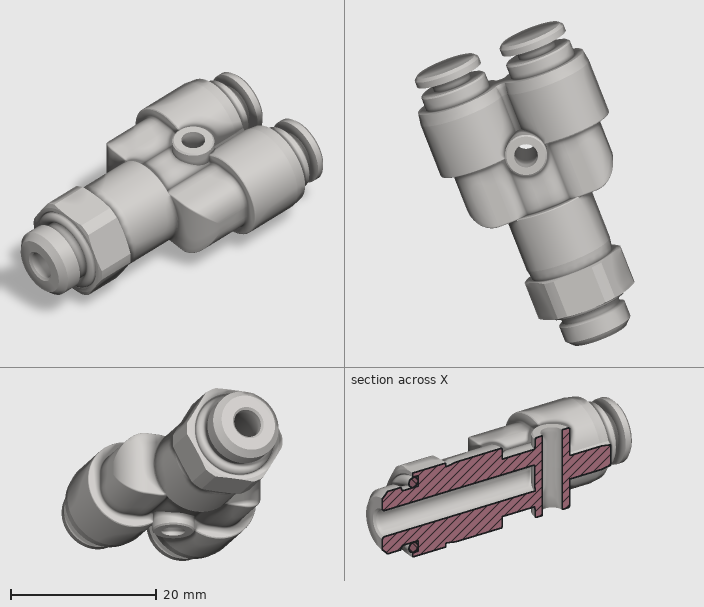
import cadquery as cq

LENGTH = 42.9

NOSE_RADIUS = 4.85
NOSE_CHAMFER = 0.9
NOSE_TOP = 3.1
NECK_RADIUS = 4.25
NECK_START = 3.4
BORE_RADIUS = 1.97
BORE_CHAMFER = 0.3

HEX_FLATS = 13.0
HEX_START = 5.0
HEX_END = 10.65
HEX_TURN = 30
HEX_CORNER_RADIUS = 7.08
HEX_FACE_RADIUS = 6.5
HEX_CHAMFER_HEIGHT = 0.17

SEAL_OUTER_RADIUS = 5.8
SEAL_SECTION_RADIUS = (SEAL_OUTER_RADIUS - NECK_RADIUS) / 2
SEAL_CENTRE_RADIUS = NECK_RADIUS + SEAL_SECTION_RADIUS
SEAL_STANDOUT = 0.6
SEAL_CENTRE_Y = HEX_START - SEAL_STANDOUT + SEAL_SECTION_RADIUS
RECESS_FLOOR = SEAL_CENTRE_Y + SEAL_SECTION_RADIUS
RECESS_CHAMFER = 0.17

SLEEVE_RADIUS = 6.18
SLEEVE_TIP_RADIUS = 5.9
TAPER_LENGTH = 1.6
RIM_ROUND = 0.17
STEM_END = 20.0
PORT_START = 28.65
PORT_END = 38.1
TOTAL_WIDTH = 24.9
PORT_OFFSET = TOTAL_WIDTH / 2 - SLEEVE_RADIUS

WEB_HALF_HEIGHT = 2.15
HOLLOW_AXIS_Z = 2.45
HOLLOW_RADIUS = 0.6
HOLLOW_TIP_RADIUS = HOLLOW_RADIUS + SLEEVE_RADIUS - SLEEVE_TIP_RADIUS

LOBE_HALF_SIZE = 4.45
LOBE_ROUND = 3.5
LOBE_START = 19.9
SHOULDER_ROUND = 3.6
EDGE_ROUND = 0.2
VALLEY_ROUND = 0.35
HOUSING_WIDTH = 2 * (PORT_OFFSET + LOBE_HALF_SIZE)

BOSS_Y = 28.3
BOSS_RADIUS = 2.9
BOSS_CHAMFER = 0.2
MOUNTING_HOLE_RADIUS = 1.65

BUTTON_RADIUS = 4.7
COLLAR_END = 40.15
COLLAR_CHAMFER = 0.2
BUTTON_NECK_RADIUS = 2.75
FLANGE_START = 41.55
FLANGE_NECK_CHAMFER = 0.25
FLANGE_CHAMFER = 0.45


def revolved(profile, x=0.0):
    """Turn (radius, Y) points about the line parallel to Y at the given X."""
    return cq.Workplane("XY").polyline(profile).close().revolve(360, (0, 0), (0, 1)).translate((x, 0, 0))


def cylinder_z(radius, half_height):
    """Cylinder along Z on the boss axis, symmetric about Z = 0."""
    return cq.Workplane("XY", origin=(0, BOSS_Y, 0)).circle(radius).extrude(half_height, both=True)


def make_stud_end():
    """Nose and neck, running up into the hexagon."""
    return revolved([
        (0, 0),
        (NOSE_RADIUS - NOSE_CHAMFER, 0),
        (NOSE_RADIUS, NOSE_CHAMFER),
        (NOSE_RADIUS, NOSE_TOP),
        (NECK_RADIUS, NECK_START),
        (NECK_RADIUS, HEX_END),
        (0, HEX_END),
    ])


def make_hexagon():
    """Hexagon with flats facing Z, turned corners, chamfered ends and the seal recess."""
    hexagon = (
        cq.Workplane("XZ", origin=(0, HEX_START, 0))
        .polygon(6, HEX_FLATS, circumscribed=True)
        .extrude(HEX_START - HEX_END)
        .rotate((0, 0, 0), (0, 1, 0), HEX_TURN)
    )
    turned_blank = revolved([
        (0, HEX_START),
        (HEX_FACE_RADIUS, HEX_START),
        (HEX_CORNER_RADIUS, HEX_START + HEX_CHAMFER_HEIGHT),
        (HEX_CORNER_RADIUS, HEX_END - HEX_CHAMFER_HEIGHT),
        (HEX_FACE_RADIUS, HEX_END),
        (0, HEX_END),
    ])
    recess = revolved([
        (NECK_RADIUS, HEX_START),
        (SEAL_OUTER_RADIUS + RECESS_CHAMFER, HEX_START),
        (SEAL_OUTER_RADIUS, HEX_START + RECESS_CHAMFER),
        (SEAL_OUTER_RADIUS, RECESS_FLOOR),
        (NECK_RADIUS, RECESS_FLOOR),
    ])
    return hexagon.intersect(turned_blank).cut(recess)


def make_sleeve(inner_end, tip, x=0.0):
    """Port sleeve: rounded rim at its inner end, slight taper toward its tip."""
    toward_tip = 1 if tip > inner_end else -1
    return (
        cq.Workplane("XY")
        .moveTo(0, inner_end)
        .lineTo(SLEEVE_RADIUS - RIM_ROUND, inner_end)
        .radiusArc((SLEEVE_RADIUS, inner_end + toward_tip * RIM_ROUND), -toward_tip * RIM_ROUND)
        .lineTo(SLEEVE_RADIUS, tip - toward_tip * TAPER_LENGTH)
        .lineTo(SLEEVE_TIP_RADIUS, tip)
        .lineTo(0, tip)
        .close()
        .revolve(360, (0, 0), (0, 1))
        .translate((x, 0, 0))
    )


def box_y(size_x, start, end, size_z):
    """Box centred on X = 0 and Z = 0 between two Y positions."""
    return cq.Workplane("XY").box(size_x, end - start, size_z).translate((0, (start + end) / 2, 0))


def make_lobe_bars(end):
    """Three rounded square bars side by side along Y, with the valleys between them rounded."""
    bars = None
    for x in (-PORT_OFFSET, 0, PORT_OFFSET):
        bar = box_y(2 * LOBE_HALF_SIZE, LOBE_START, end, 2 * LOBE_HALF_SIZE).edges("|Y").fillet(LOBE_ROUND)
        bar = bar.translate((x, 0, 0))
        bars = bar if bars is None else bars.union(bar)
    valley_x = PORT_OFFSET / 2
    valleys = bars.edges("|Y").filter(lambda edge: abs(abs(edge.Center().x) - valley_x) < EDGE_ROUND)
    return valleys.fillet(VALLEY_ROUND)


def make_lobes():
    """Lobed middle with rounded shoulders, rounded lower edge and a flared root at the port sleeves."""
    plan = box_y(HOUSING_WIDTH, LOBE_START, PORT_START, 2 * LOBE_HALF_SIZE)
    plan = plan.edges("|Z and <Y").fillet(SHOULDER_ROUND)
    lobes = make_lobe_bars(PORT_START).intersect(plan)
    lobes = lobes.faces("<Y").edges("not |Z").fillet(EDGE_ROUND)
    plate = box_y(2 * HOUSING_WIDTH, PORT_START, PORT_END, 2 * HOUSING_WIDTH)
    lobes = lobes.union(plate)
    root = lobes.edges(cq.selectors.BoxSelector(
        (-HOUSING_WIDTH / 2 - EDGE_ROUND, PORT_START - EDGE_ROUND, -LOBE_HALF_SIZE - EDGE_ROUND),
        (HOUSING_WIDTH / 2 + EDGE_ROUND, PORT_START + EDGE_ROUND, LOBE_HALF_SIZE + EDGE_ROUND),
    ))
    return root.fillet(EDGE_ROUND).cut(plate)


def make_stem_flare():
    """Small concave flare where the single sleeve meets the flat lower face of the lobes."""
    ring = (
        cq.Workplane("XY")
        .moveTo(SLEEVE_RADIUS - RIM_ROUND, LOBE_START - EDGE_ROUND)
        .lineTo(SLEEVE_RADIUS, LOBE_START - EDGE_ROUND)
        .radiusArc((SLEEVE_RADIUS + EDGE_ROUND, LOBE_START), EDGE_ROUND)
        .lineTo(SLEEVE_RADIUS - RIM_ROUND, LOBE_START)
        .close()
        .revolve(360, (0, 0), (0, 1))
    )
    flat_face_height = 2 * (LOBE_HALF_SIZE - EDGE_ROUND)
    return ring.intersect(box_y(HOUSING_WIDTH, HEX_END, PORT_START, flat_face_height))


def make_boss():
    """Round boss through the housing with chamfered ends."""
    return cylinder_z(BOSS_RADIUS, SLEEVE_RADIUS).faces("<Z or >Z").chamfer(BOSS_CHAMFER)


def make_web():
    """Web that closes the gap between the port sleeves, hollowed above and below."""
    taper_start = PORT_END - TAPER_LENGTH
    web = box_y(2 * PORT_OFFSET, PORT_START, PORT_END, 2 * WEB_HALF_HEIGHT)
    hollow = revolved([
        (0, PORT_START),
        (HOLLOW_RADIUS, PORT_START),
        (HOLLOW_RADIUS, taper_start),
        (HOLLOW_TIP_RADIUS, PORT_END),
        (0, PORT_END),
    ])
    for side in (-1, 1):
        web = web.cut(hollow.translate((0, 0, side * HOLLOW_AXIS_Z)))
    return web


def make_button(x):
    """Release button: collar, narrow neck and end flange."""
    return revolved([
        (0, PORT_END),
        (BUTTON_RADIUS, PORT_END),
        (BUTTON_RADIUS, COLLAR_END - COLLAR_CHAMFER),
        (BUTTON_RADIUS - COLLAR_CHAMFER, COLLAR_END),
        (BUTTON_NECK_RADIUS, COLLAR_END),
        (BUTTON_NECK_RADIUS, FLANGE_START - FLANGE_NECK_CHAMFER),
        (BUTTON_NECK_RADIUS + FLANGE_NECK_CHAMFER, FLANGE_START),
        (BUTTON_RADIUS, FLANGE_START),
        (BUTTON_RADIUS, LENGTH - FLANGE_CHAMFER),
        (BUTTON_RADIUS - FLANGE_CHAMFER, LENGTH),
        (0, LENGTH),
    ], x)


def make_bore():
    """Flow bore from the stud end, stopping against the wall around the mounting hole."""
    bore = revolved([
        (0, 0),
        (BORE_RADIUS + BORE_CHAMFER, 0),
        (BORE_RADIUS, BORE_CHAMFER),
        (BORE_RADIUS, BOSS_Y),
        (0, BOSS_Y),
    ])
    return bore.cut(cylinder_z(BOSS_RADIUS, SLEEVE_RADIUS))


def make_fitting():
    """Complete Y fitting without its seal ring."""
    fitting = make_lobes().union(make_sleeve(STEM_END, HEX_END)).union(make_stem_flare())
    for x in (-PORT_OFFSET, PORT_OFFSET):
        fitting = fitting.union(make_sleeve(PORT_START, PORT_END, x)).union(make_button(x))
    fitting = fitting.union(make_web()).union(make_boss())
    fitting = fitting.union(make_hexagon()).union(make_stud_end())
    return fitting.cut(make_bore()).cut(cylinder_z(MOUNTING_HOLE_RADIUS, SLEEVE_RADIUS))


def make_seal_ring():
    """O-ring seated in the hexagon recess around the neck."""
    return (
        cq.Workplane("XY")
        .center(SEAL_CENTRE_RADIUS, SEAL_CENTRE_Y)
        .circle(SEAL_SECTION_RADIUS)
        .revolve(360, (-SEAL_CENTRE_RADIUS, 0), (-SEAL_CENTRE_RADIUS, 1))
    )


fitting = make_fitting()
seal_ring = make_seal_ring()

result = cq.Compound.makeCompound([fitting.val(), seal_ring.val()])